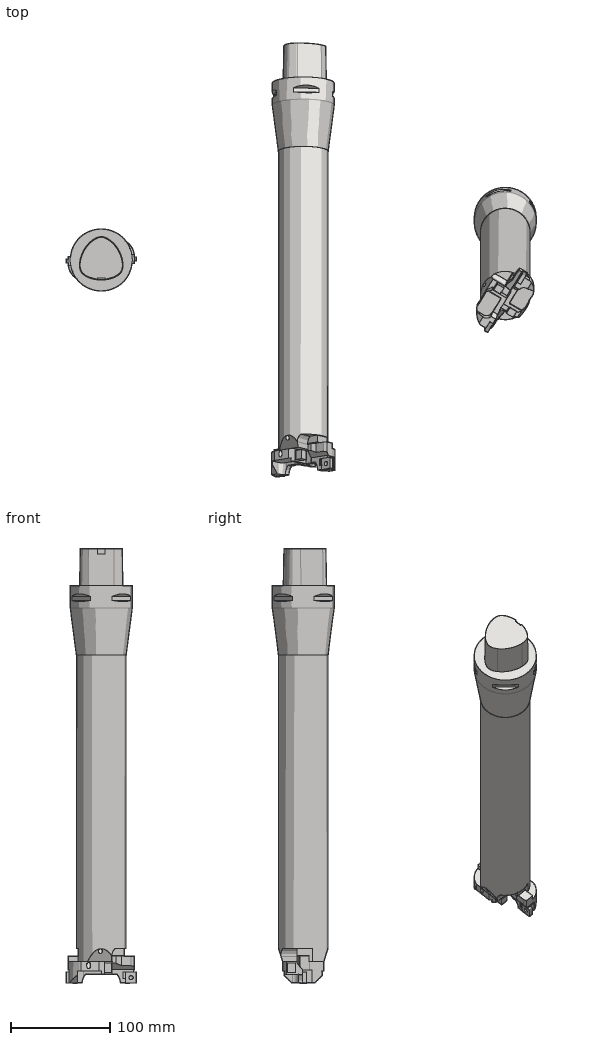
import cadquery as cq
import math

tool_length = 439.0
flange_top = 402.0
flange_bottom = 379.0
cone_bottom = 331.5
shaft_end = 22.0

flange_diameter = 63.0
cone_end_diameter = 50.5
shaft_diameter = 50.0
shaft_radius = shaft_diameter / 2

polygon_width = 44.0
polygon_lobe_height = 1.65
polygon_taper = 1 / 30
flat_half_angle = 24.0
key_width = 7.5
key_height = 5.5
key_depth = 1.55

groove_count = 4
groove_floor_z = (387.0, 391.0)
groove_mouth_z = (385.5, 393.5)
groove_floor_distance = 28.5

cut_top = 35.0
slant_end_y = 20.85
side_flat_x = 23.3
chip_wall_x = 10.5
chip_wall_y = -6.0
chip_bend_z = 27.2
chip_top_x = 14.0
slot_top = 28.0

coolant_diameter = 4.0
coolant_tilt = 50.0
coolant_depth = 9.0
holder_coolant_x = 1.0
holder_coolant_z = 32.5
cartridge_coolant_x = 12.7
cartridge_coolant_z = 18.0

foot_bottom = 9.2
foot_end_x = -3.3
foot_corner_x = 2.0
foot_corner_y = 17.0
foot_face_end_x = 20.0
foot_side_mid = (28.5, 16.0)
side_x = 33.5
side_y = 6.0
rim_x = 11.0
rim_end_x = 15.0
face_start_x = 20.0
face_y = -4.17
face_end_x = 30.0
bevel_depth = 1.0
tongue_y = 5.5
tongue_top = 27.45
tab_x = -10.5
tab_y = (8.0, 16.0)
tab_z = (11.0, 20.42)
leg_bottom = 0.5
leg_inner_x = 19.5
leg_bend_start = (16.0, foot_bottom)
leg_bend_mid = (18.0, 5.5)
chamfer_top = 9.5
slope_top = 18.0
slope_bottom = 14.0
relief_x = 24.0
relief_y = 5.0
relief_radius = 6.0
relief_top = 12.5
clearance_x = 32.5
clearance_y = 9.0
clearance_top = 13.5
insert_gap_x = 22.0
insert_gap_bottom = 5.0
insert_gap_depth = 1.5

insert_face_y = -1.0
insert_thickness = 4.0
insert_outer_x = 35.5
insert_inner_x = 24.5
insert_top = 11.65
insert_tilt = 0.5
insert_corner_radius = 0.65
insert_hole_diameter = 4.0

reach = 88.0


def box(x0, x1, y0, y1, z0, z1):
    """Box between the given limits."""
    return cq.Workplane("XY").box(x1 - x0, y1 - y0, z1 - z0, centered=False).translate((x0, y0, z0))


def turned_copies(shape, count):
    """Copies of a shape spaced evenly around the tool axis."""
    return [shape.rotate((0, 0, 0), (0, 0, 1), 360 * i / count) for i in range(count)]


def polygon_wire(width, z):
    """Closed three-lobed outline of constant width, as alternating flat and lobe curves."""

    def point(angle):
        phi = angle + math.pi / 2
        distance = width / 2 - polygon_lobe_height * math.cos(3 * phi)
        slope = 3 * polygon_lobe_height * math.sin(3 * phi)
        x = distance * math.cos(angle) - slope * math.sin(angle)
        y = distance * math.sin(angle) + slope * math.cos(angle)
        return cq.Vector(x, y, z)

    points_per_curve = 9
    edges = []
    for lobe in range(3):
        flat_middle = -90 + 120 * lobe
        limits = [flat_middle - flat_half_angle, flat_middle + flat_half_angle]
        limits.append(flat_middle + 120 - flat_half_angle)
        for start, end in zip(limits, limits[1:]):
            step = (end - start) / (points_per_curve - 1)
            angles = [math.radians(start + step * i) for i in range(points_per_curve)]
            edges.append(cq.Edge.makeSpline([point(a) for a in angles]))
    return cq.Wire.assembleEdges(edges)


def make_shank():
    """Tapered polygon shank with a key notch in its top edge."""
    height = tool_length - flange_top
    lower = polygon_wire(polygon_width, flange_top)
    upper = polygon_wire(polygon_width - height * polygon_taper, tool_length)
    shank = cq.Workplane(cq.Solid.makeLoft([lower, upper], True))
    face_y = -(polygon_width / 2 - polygon_lobe_height - height * polygon_taper / 2)
    notch = box(
        -key_width / 2, key_width / 2, -reach, face_y + key_depth, tool_length - key_height, tool_length
    )
    return shank.cut(notch)


def gripper_groove():
    """Straight groove with flared sides, across the flange on its +X side."""
    flange_radius = flange_diameter / 2
    return (
        cq.Workplane("XZ")
        .moveTo(groove_floor_distance, groove_floor_z[0])
        .lineTo(flange_radius, groove_mouth_z[0])
        .lineTo(flange_radius, groove_mouth_z[1])
        .lineTo(groove_floor_distance, groove_floor_z[1])
        .close()
        .extrude(flange_radius, both=True)
    )


def slanted_plane_cut():
    """Wedge that slants the +Y side of the shaft towards its end."""
    return (
        cq.Workplane("YZ")
        .moveTo(slant_end_y, shaft_end)
        .lineTo(shaft_radius, cut_top)
        .lineTo(shaft_radius, shaft_end)
        .close()
        .extrude(shaft_radius, both=True)
    )


def coolant_hole(x, y, z):
    """Blind drilling that leaves a +Y face at the given point, aimed outwards and down."""
    tilt = math.radians(coolant_tilt)
    outwards = cq.Vector(0, math.cos(tilt), -math.sin(tilt))
    start = cq.Vector(x, y, z) - outwards * coolant_depth
    return cq.Workplane(cq.Solid.makeCylinder(coolant_diameter / 2, 2 * coolant_depth, start, outwards))


def chip_pocket():
    """Pocket in front of the +X insert, with an upright wall that curves outwards at the top."""
    rise = cut_top - chip_bend_z
    run = chip_top_x - chip_wall_x
    bend_radius = (run**2 + rise**2) / (2 * run)
    half_turn = math.asin(rise / bend_radius) / 2
    bend_mid = (
        chip_wall_x + bend_radius * (1 - math.cos(half_turn)),
        chip_bend_z + bend_radius * math.sin(half_turn),
    )
    return (
        cq.Workplane("XZ", origin=(0, chip_wall_y, 0))
        .moveTo(chip_wall_x, shaft_end)
        .lineTo(chip_wall_x, chip_bend_z)
        .threePointArc(bend_mid, (chip_top_x, cut_top))
        .lineTo(reach, cut_top)
        .lineTo(reach, shaft_end)
        .close()
        .extrude(reach)
    )


def make_holder():
    """Shank, flange, cone and shaft, with the seats for two cartridges."""
    flange_radius = flange_diameter / 2
    turned = (
        cq.Workplane("XZ")
        .moveTo(0, shaft_end)
        .lineTo(shaft_radius, shaft_end)
        .lineTo(shaft_radius, cone_bottom)
        .lineTo(cone_end_diameter / 2, cone_bottom)
        .lineTo(flange_radius, flange_bottom)
        .lineTo(flange_radius, flange_top)
        .lineTo(0, flange_top)
        .close()
        .revolve(360, (0, 0, 0), (0, 1, 0))
    )
    holder = turned.union(make_shank())
    first_groove = gripper_groove().rotate((0, 0, 0), (0, 0, 1), 180 / groove_count)
    for groove in turned_copies(first_groove, groove_count):
        holder = holder.cut(groove)
    side_flat = box(side_flat_x, reach, chip_wall_y, reach, shaft_end, cut_top)
    tongue_slot = box(chip_wall_x, reach, chip_wall_y, tongue_y, shaft_end, slot_top)
    slant = (shaft_radius - slant_end_y) / (cut_top - shaft_end)
    coolant_y = slant_end_y + slant * (holder_coolant_z - shaft_end)
    coolant = coolant_hole(holder_coolant_x, coolant_y, holder_coolant_z)
    for feature in (slanted_plane_cut(), side_flat, chip_pocket(), tongue_slot, coolant):
        for cutter in turned_copies(feature, 2):
            holder = holder.cut(cutter)
    return holder


def make_insert():
    """Square insert on the +X side with a screw hole; its cutting face looks towards -Y."""
    width = insert_outer_x - insert_inner_x
    return (
        cq.Workplane("XZ", origin=(0, insert_face_y, 0))
        .moveTo(insert_inner_x, 0)
        .lineTo(insert_outer_x, insert_tilt)
        .lineTo(insert_outer_x, insert_top)
        .lineTo(insert_inner_x, insert_top)
        .close()
        .extrude(-insert_thickness)
        .edges("|Y and >X")
        .fillet(insert_corner_radius)
        .faces("<Y")
        .workplane(origin=(insert_inner_x + width / 2, 0, insert_top / 2))
        .hole(insert_hole_diameter)
    )


def cartridge_blank():
    """Foot under the shaft, leg beside it, tongue in the slot and tab at the foot's end."""
    lower = (
        cq.Workplane("XY", origin=(0, 0, leg_bottom))
        .moveTo(foot_end_x, 0)
        .lineTo(foot_end_x, foot_corner_y)
        .lineTo(foot_corner_x, slant_end_y)
        .lineTo(foot_face_end_x, slant_end_y)
        .threePointArc(foot_side_mid, (side_x, side_y))
        .lineTo(side_x, face_y + bevel_depth)
        .lineTo(face_end_x, face_y)
        .lineTo(face_start_x, face_y)
        .lineTo(rim_end_x, chip_wall_y)
        .lineTo(rim_x, chip_wall_y)
        .lineTo(rim_x, 0)
        .close()
        .extrude(shaft_end - leg_bottom)
    )
    tongue = (
        cq.Workplane("XY", origin=(0, 0, shaft_end))
        .moveTo(rim_x, tongue_y)
        .lineTo(side_x, tongue_y)
        .lineTo(side_x, face_y + bevel_depth)
        .lineTo(face_end_x, face_y)
        .lineTo(face_start_x, face_y)
        .lineTo(rim_end_x, chip_wall_y)
        .lineTo(rim_x, chip_wall_y)
        .close()
        .extrude(tongue_top - shaft_end)
    )
    tab = box(tab_x, foot_end_x, *tab_y, *tab_z)
    return lower.union(tongue).union(tab)


def under_foot_cut():
    """Space below the foot, bounded by the curved inner side of the leg."""
    return (
        cq.Workplane("XZ")
        .moveTo(-reach, foot_bottom)
        .lineTo(*leg_bend_start)
        .threePointArc(leg_bend_mid, (leg_inner_x, leg_bottom))
        .lineTo(-reach, leg_bottom)
        .close()
        .extrude(reach, both=True)
    )


def bottom_chamfer_cut():
    """45 degree cut along the lower +Y edge of foot and leg."""
    drop = chamfer_top - leg_bottom
    return (
        cq.Workplane("YZ")
        .moveTo(slant_end_y, chamfer_top)
        .lineTo(slant_end_y - drop, leg_bottom)
        .lineTo(slant_end_y, leg_bottom)
        .close()
        .extrude(reach, both=True)
    )


def chip_face_cut():
    """Slope under the upper face that leads back to the level of the cutting face."""
    slope = (slope_top - slope_bottom) / (insert_face_y - face_y)
    front_y = chip_wall_y
    return (
        cq.Workplane("YZ")
        .moveTo(front_y, slope_top + slope * (face_y - front_y))
        .lineTo(insert_face_y, slope_bottom)
        .lineTo(insert_face_y, leg_bottom)
        .lineTo(front_y, leg_bottom)
        .close()
        .extrude(reach)
    )


def leg_relief_cut():
    """Recess behind the leg's inner side, with a rounded upright corner."""
    relief = box(0, relief_x, relief_y, reach, leg_bottom, relief_top)
    return relief.edges("|Z and >X and <Y").fillet(relief_radius)


def make_cartridge():
    """Cartridge on the +X side, with a seat that fits the insert."""
    cartridge = cartridge_blank()
    clearance = box(clearance_x, reach, -reach, clearance_y, leg_bottom, clearance_top)
    seat_back_y = insert_face_y + insert_thickness
    seat = box(insert_inner_x, reach, -reach, seat_back_y, 0, insert_top)
    gap_back_y = insert_face_y + insert_gap_depth
    gap = box(insert_gap_x, insert_inner_x, -reach, gap_back_y, insert_gap_bottom, insert_top)
    coolant = coolant_hole(cartridge_coolant_x, slant_end_y, cartridge_coolant_z)
    for cutter in (
        under_foot_cut(),
        bottom_chamfer_cut(),
        chip_face_cut(),
        leg_relief_cut(),
        clearance,
        seat,
        gap,
        coolant,
    ):
        cartridge = cartridge.cut(cutter)
    return cartridge


holder = make_holder()
cartridges = turned_copies(make_cartridge(), 2)
inserts = turned_copies(make_insert(), 2)

result = cq.Compound.makeCompound(
    [
        holder.solids().val(),
        *[cartridge.solids().val() for cartridge in cartridges],
        *[insert.solids().val() for insert in inserts],
    ]
)